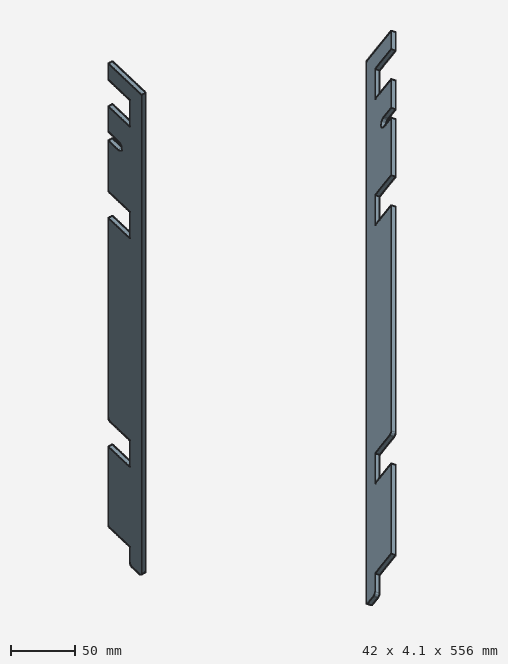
import cadquery as cq

length = 556.0
width = 42.0
thickness = 4.1

tongue_width = 15.0
notch_depth = width - tongue_width
notch_height = 30.5
notch_tops = (537.0, 408.0, 144.0)
tongue_length = 21.0

slot_height = 10.0
slot_depth = 17.0
slot_center = 472.0

corner_radius = 3.0


def edge_cutter(depth, bottom, top):
    """Block that cuts into the left edge between two heights."""
    return cq.Workplane("XY").box(depth, thickness, top - bottom, centered=False).translate((0, 0, bottom))


def slot_cutter():
    """Straight slot that ends in a half circle."""
    radius = slot_height / 2
    straight = edge_cutter(slot_depth - radius, slot_center - radius, slot_center + radius)
    round_end = (
        cq.Workplane("XZ")
        .center(slot_depth - radius, slot_center)
        .circle(radius)
        .extrude(-thickness)
    )
    return straight.union(round_end)


def round_corner(body, x, z):
    """Round the through-thickness edge that passes through (x, z)."""
    corner = cq.selectors.NearestToPointSelector((x, thickness / 2, z))
    return body.edges("|Y").edges(corner).fillet(corner_radius)


bar = cq.Workplane("XY").box(width, thickness, length, centered=False)

for notch_top in notch_tops:
    bar = bar.cut(edge_cutter(notch_depth, notch_top - notch_height, notch_top))
bar = bar.cut(edge_cutter(notch_depth, 0, tongue_length))
bar = bar.cut(slot_cutter())

lowest_notch_top = min(notch_tops)
for x, z in ((notch_depth, 0), (width, 0), (0, lowest_notch_top)):
    bar = round_corner(bar, x, z)

result = bar